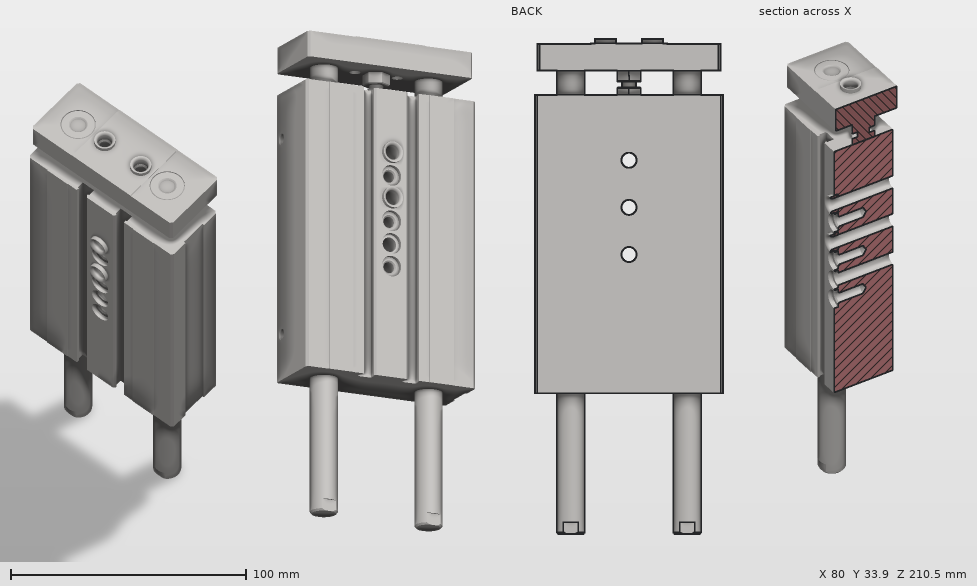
import cadquery as cq
import math

total_height = 210.5

housing_width = 80.0
housing_back = 15.0
housing_front = -14.7
housing_pad_front = -15.0
housing_bottom = 59.8
housing_top = 186.6
housing_corner_chamfer = 1.0
pad_inner_x = 18.0
pad_outer_x = 29.5
side_recess_width = 12.2
side_recess_depth = 0.8

slot_inner_x = 8.0
slot_outer_x = 13.0
slot_depth = 4.6
slot_lip = 1.3
slot_undercut = 0.6
strip_chamfer_x = 0.8
strip_chamfer_y = 0.8

mount_count = 6
mount_span = 50.0
mount_top_z = 158.9
mount_through_dia = 6.3
mount_blind_depth = 12.6
sleeved_mounts = (0, 2)

thread_dia = 6.0
thread_core_dia = 4.8
drill_point_angle = 118.0

port_y = 9.9
port_heights = (166.2, 80.0)
port_mouth_dia = 4.8
port_core_dia = 4.2
port_depth = 8.5

sleeve_dia = 9.0
sleeve_bore = 6.3
sleeve_seat_depth = 2.0
sleeve_protrusion = 1.9
sleeve_mouth_radius = 1.3
top_sleeve_spacing = 20.0

plate_width = 77.8
plate_back = 17.0
plate_front = -14.0
plate_bottom = 197.0
plate_top = 208.3
plate_corner_chamfer = 1.0
plate_land_width = 32.5
plate_land_top = total_height - sleeve_protrusion

piston_rod_dia = 6.0
hex_across_flats = 10.0
upper_hex_bottom = 192.0
lower_hex_top = 189.8
hex_chamfer = 0.5

rod_spacing = 49.5
rod_dia = 12.0
rod_tip_dia = 10.5
rod_tip_length = 0.8
rod_flat_width = 10.0
rod_flat_height = 5.0
rod_head_dia = 15.0
rod_head_rim_dia = 14.0
rod_head_height = 6.3
rod_socket_dia = 8.0
rod_socket_floor_dia = 6.3
rod_socket_depth = 0.6

housing_height = housing_top - housing_bottom
rod_x = rod_spacing / 2
top_sleeve_x = top_sleeve_spacing / 2
mount_pitch = mount_span / (mount_count - 1)
mount_heights = [mount_top_z - i * mount_pitch for i in range(mount_count)]
sleeve_length = sleeve_seat_depth + sleeve_protrusion
X_AXIS = cq.Vector(1, 0, 0)
Y_AXIS = cq.Vector(0, 1, 0)
DOWN = cq.Vector(0, 0, -1)


def block(x_min, x_max, y_min, y_max, z_min, z_max):
    """Axis-aligned box between the given limits."""
    size = (x_max - x_min, y_max - y_min, z_max - z_min)
    return cq.Workplane("XY").box(*size, centered=False).translate((x_min, y_min, z_min))


def bore(mouth, direction, diameter, depth):
    """Round cutter that starts at mouth and runs along direction."""
    return cq.Solid.makeCylinder(diameter / 2, depth, mouth, direction)


def countersink(mouth, direction, mouth_dia, core_dia):
    """45-degree cone that narrows from mouth_dia to core_dia."""
    height = (mouth_dia - core_dia) / 2
    return cq.Solid.makeCone(mouth_dia / 2, core_dia / 2, height, mouth, direction)


def blind_hole(mouth, direction, mouth_dia, core_dia, depth):
    """Countersunk drilled hole with a conical bottom."""
    point_height = core_dia / 2 / math.tan(math.radians(drill_point_angle / 2))
    point = cq.Solid.makeCone(core_dia / 2, 0, point_height, mouth + direction * depth, direction)
    hole = bore(mouth, direction, core_dia, depth)
    return hole.fuse(countersink(mouth, direction, mouth_dia, core_dia), point)


def rod_positions():
    """Signed X places of the two guide rods."""
    return (-rod_x, rod_x)


def sensor_slot():
    """Right-hand T-slot, open to the front, along the whole housing."""
    lip_y = housing_front + slot_lip
    floor_y = housing_front + slot_depth
    mouth = block(slot_inner_x, slot_outer_x, housing_pad_front, floor_y, housing_bottom, housing_top)
    undercut = block(slot_inner_x - slot_undercut, slot_outer_x + slot_undercut, lip_y, floor_y,
                     housing_bottom, housing_top)
    return mouth.union(undercut)


def centre_strip():
    """Raised strip between the slots, bevelled on both long edges."""
    bevel_start_y = housing_pad_front + strip_chamfer_y
    top_half_width = slot_inner_x - strip_chamfer_x
    return (
        cq.Workplane("XY", origin=(0, 0, housing_bottom))
        .moveTo(-slot_inner_x, housing_front + slot_lip)
        .lineTo(-slot_inner_x, bevel_start_y)
        .lineTo(-top_half_width, housing_pad_front)
        .lineTo(top_half_width, housing_pad_front)
        .lineTo(slot_inner_x, bevel_start_y)
        .lineTo(slot_inner_x, housing_front + slot_lip)
        .close()
        .extrude(housing_height)
    )


def housing_profile():
    """Extruded housing with its pads, slots and side recess."""
    half_width = housing_width / 2
    body = block(-half_width, half_width, housing_front, housing_back, housing_bottom, housing_top)
    body = body.edges("|Z").chamfer(housing_corner_chamfer)
    pad = block(pad_inner_x, pad_outer_x, housing_pad_front, 0, housing_bottom, housing_top)
    slot = sensor_slot()
    strip_clearance = block(-slot_inner_x, slot_inner_x, housing_front, housing_front + slot_lip,
                            housing_bottom, housing_top)
    body = body.union(pad).union(pad.mirror("YZ"))
    body = body.cut(slot).cut(slot.mirror("YZ"))
    body = body.cut(strip_clearance).union(centre_strip())
    half_recess = side_recess_width / 2
    side_recess = block(half_width - side_recess_depth, half_width, -half_recess, half_recess,
                        housing_bottom, housing_top)
    return body.cut(side_recess)


def mounting_hole(index):
    """Sleeve seat with a through hole (even index) or a tapped blind hole (odd index)."""
    mouth = cq.Vector(0, housing_pad_front, mount_heights[index])
    seat = bore(mouth, Y_AXIS, sleeve_dia, sleeve_seat_depth)
    if index % 2 == 0:
        return seat.fuse(bore(mouth, Y_AXIS, mount_through_dia, housing_back - housing_pad_front))
    seat_floor = mouth + Y_AXIS * sleeve_seat_depth
    return seat.fuse(blind_hole(seat_floor, Y_AXIS, thread_dia, thread_core_dia, mount_blind_depth))


def make_housing():
    body = housing_profile()
    for x in rod_positions():
        body = body.cut(bore(cq.Vector(x, 0, housing_top), DOWN, rod_dia, housing_height))
    for index in range(mount_count):
        body = body.cut(mounting_hole(index))
    for z in port_heights:
        mouth = cq.Vector(-housing_width / 2, port_y, z)
        body = body.cut(blind_hole(mouth, X_AXIS, port_mouth_dia, port_core_dia, port_depth))
    return body.solids().val()


def hexagon(z_min, z_max):
    """Hexagon around the piston rod with corners pointing to -Y and +Y."""
    across_corners = hex_across_flats / math.cos(math.pi / 6)
    return (
        cq.Workplane("XY", origin=(0, 0, z_min))
        .polygon(6, across_corners)
        .extrude(z_max - z_min)
        .rotate((0, 0, 0), (0, 0, 1), 30)
    )


def piston_rod():
    """Short piston rod from the plate to the housing, with a hexagon at each end."""
    shaft = cq.Workplane("XY", origin=(0, 0, housing_top)).circle(piston_rod_dia / 2)
    shaft = shaft.extrude(plate_bottom - housing_top)
    upper_hex = hexagon(upper_hex_bottom, plate_bottom).faces("<Z").chamfer(hex_chamfer)
    lower_hex = hexagon(housing_top, lower_hex_top).faces(">Z").chamfer(hex_chamfer)
    return shaft.union(upper_hex).union(lower_hex)


def make_yoke():
    half_width = plate_width / 2
    half_land = plate_land_width / 2
    plate = block(-half_width, half_width, plate_front, plate_back, plate_bottom, plate_top)
    plate = plate.edges("|Z").chamfer(plate_corner_chamfer)
    land = block(-half_land, half_land, plate_front, plate_back, plate_bottom, plate_land_top)
    plate = plate.union(land)
    for x in rod_positions():
        mouth = cq.Vector(x, 0, plate_top)
        plate = plate.cut(bore(mouth, DOWN, rod_dia, plate_top - plate_bottom))
        plate = plate.cut(bore(mouth, DOWN, rod_head_dia, rod_head_height))
    for x in (-top_sleeve_x, top_sleeve_x):
        mouth = cq.Vector(x, 0, plate_land_top)
        seat_floor = mouth + DOWN * sleeve_seat_depth
        plate = plate.cut(bore(mouth, DOWN, sleeve_dia, sleeve_seat_depth))
        plate = plate.cut(countersink(seat_floor, DOWN, thread_dia, thread_core_dia))
        plate = plate.cut(bore(mouth, DOWN, thread_core_dia, plate_land_top - plate_bottom))
    return plate.union(piston_rod()).solids().val()


def make_guide_rod(x):
    """Rod with a bevelled head flush in the plate and two spanner flats at its tip."""
    rim_height = (rod_head_dia - rod_head_rim_dia) / 2
    rod = (
        cq.Workplane("XZ")
        .moveTo(0, 0)
        .lineTo(rod_tip_dia / 2, 0)
        .lineTo(rod_dia / 2, rod_tip_length)
        .lineTo(rod_dia / 2, plate_top - rod_head_height)
        .lineTo(rod_head_dia / 2, plate_top - rod_head_height)
        .lineTo(rod_head_dia / 2, plate_top - rim_height)
        .lineTo(rod_head_rim_dia / 2, plate_top)
        .lineTo(rod_socket_dia / 2, plate_top)
        .lineTo(rod_socket_floor_dia / 2, plate_top - rod_socket_depth)
        .lineTo(0, plate_top - rod_socket_depth)
        .close()
        .revolve(360, (0, 0, 0), (0, 1, 0))
    )
    flat = block(-rod_dia / 2, rod_dia / 2, rod_flat_width / 2, rod_dia / 2, 0, rod_flat_height)
    rod = rod.cut(flat).cut(flat.mirror("XZ"))
    return rod.translate((x, 0, 0)).solids().val()


def make_sleeve():
    """Sleeve along +Z standing on z = 0, with the free end of its bore rounded."""
    sleeve = cq.Workplane("XY").circle(sleeve_dia / 2).circle(sleeve_bore / 2).extrude(sleeve_length)
    bore_mouth = sleeve.faces(">Z").edges(cq.selectors.RadiusNthSelector(0))
    return bore_mouth.fillet(sleeve_mouth_radius).solids().val()


def make_top_sleeve(x):
    return make_sleeve().translate(cq.Vector(x, 0, total_height - sleeve_length))


def make_front_sleeve(z):
    seat_floor_y = housing_pad_front + sleeve_seat_depth
    upright = make_sleeve()
    facing_front = upright.rotate(cq.Vector(0, 0, 0), X_AXIS, 90)
    return facing_front.translate(cq.Vector(0, seat_floor_y, z))


housing = make_housing()
yoke = make_yoke()
guide_rods = [make_guide_rod(x) for x in rod_positions()]
top_sleeves = [make_top_sleeve(x) for x in (-top_sleeve_x, top_sleeve_x)]
front_sleeves = [make_front_sleeve(mount_heights[i]) for i in sleeved_mounts]

result = cq.Compound.makeCompound(
    [housing, yoke, *guide_rods, *top_sleeves, *front_sleeves]
)